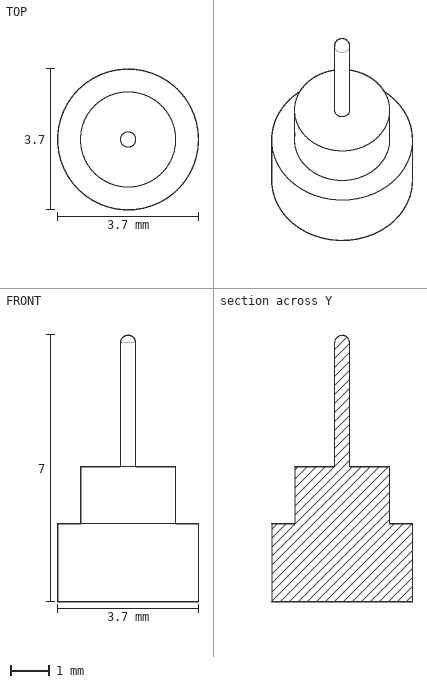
import cadquery as cq

total_height = 7.0
base_diameter = 3.7
base_height = 2.05
collar_diameter = 2.5
collar_height = 1.5
pin_diameter = 0.4

pin_radius = pin_diameter / 2
shoulder_height = base_height + collar_height
pin_shaft_length = total_height - shoulder_height - pin_radius


def upright_cylinder(diameter, height, bottom):
    """Cylinder on the Z axis, starting at the given height."""
    return cq.Workplane("XY").workplane(offset=bottom).circle(diameter / 2).extrude(height)


base = upright_cylinder(base_diameter, base_height, 0)
collar = upright_cylinder(collar_diameter, collar_height, base_height)

pin = upright_cylinder(pin_diameter, pin_shaft_length, shoulder_height)
pin = pin.faces(">Z").workplane().sphere(pin_radius)

result = base.union(collar).union(pin)